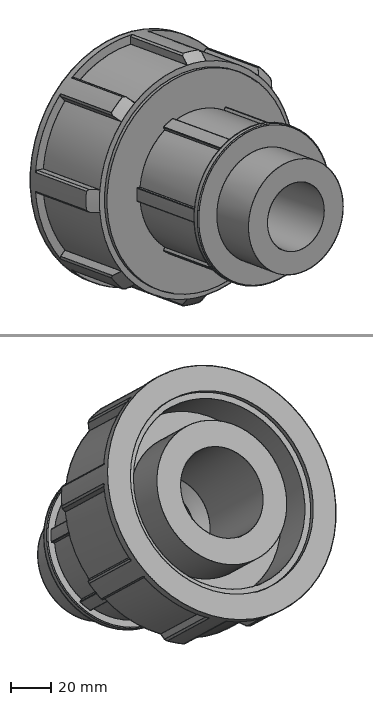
import cadquery as cq

RIM_END = 4.2
NUT_END = 50.7
COLLAR_END = 52.8
FLANGE_START = 102.2
FLANGE_END = 106.0
LENGTH = 132.0

RIM_DIAMETER = 132.0
NUT_BODY_DIAMETER = 122.5
COLLAR_DIAMETER = 116.2
TUBE_DIAMETER = 75.0
FLANGE_DIAMETER = 83.4
SPIGOT_DIAMETER = 59.7
FLANGE_CHAMFER = 0.5

GRIP_COUNT = 8
GRIP_WIDTH = 11.9
GRIP_TIP_CHAMFER = 1.2
GRIP_BEVEL = (RIM_DIAMETER - NUT_BODY_DIAMETER) / 2

SPLINE_COUNT = 6
SPLINE_WIDTH = 7.1
SPLINE_DIAMETER = 78.7
SPLINE_TIP_CHAMFER = 0.4

MOUTH_DIAMETER = 105.6
MOUTH_DEPTH = 2.6
RECESS_DIAMETER = 99.0
RECESS_DEPTH = 26.4
SLEEVE_DIAMETER = TUBE_DIAMETER

ENTRY_DIAMETER = 47.7
PASSAGE_DIAMETER = 35.8
CONE_START = COLLAR_END
CONE_LENGTH = (ENTRY_DIAMETER - PASSAGE_DIAMETER) / 2


def disc(diameter, start, end):
    """Solid cylinder along X between two positions."""
    return cq.Workplane("YZ").workplane(offset=start).circle(diameter / 2).extrude(end - start)


def around_axis(shape, count):
    """Equally spaced copies of a shape around the X axis."""
    copies = shape
    for index in range(1, count):
        copies = copies.union(shape.rotate((0, 0, 0), (1, 0, 0), index * 360 / count))
    return copies


def radial_bar(diameter, width, tip_chamfer, start, end):
    """Bar from the axis out along +Y, with parallel walls and chamfered tip edges."""
    tip = diameter / 2
    shoulder = tip - tip_chamfer
    wall = width / 2
    tip_half = wall - tip_chamfer
    outline = [(0, -wall), (shoulder, -wall), (tip, -tip_half), (tip, tip_half), (shoulder, wall), (0, wall)]
    return cq.Workplane("YZ").workplane(offset=start).polyline(outline).close().extrude(end - start)


def make_grips():
    grip = radial_bar(RIM_DIAMETER, GRIP_WIDTH, GRIP_TIP_CHAMFER, 0, NUT_END)
    envelope = disc(RIM_DIAMETER, 0, NUT_END).faces(">X").chamfer(GRIP_BEVEL)
    return around_axis(grip, GRIP_COUNT).intersect(envelope)


def make_splines():
    spline = radial_bar(SPLINE_DIAMETER, SPLINE_WIDTH, SPLINE_TIP_CHAMFER, COLLAR_END, FLANGE_START)
    envelope = disc(SPLINE_DIAMETER, COLLAR_END, FLANGE_START)
    return around_axis(spline, SPLINE_COUNT).intersect(envelope)


def make_outside():
    flange = disc(FLANGE_DIAMETER, FLANGE_START, FLANGE_END).edges().chamfer(FLANGE_CHAMFER)
    return (
        disc(RIM_DIAMETER, 0, RIM_END)
        .union(disc(NUT_BODY_DIAMETER, 0, NUT_END))
        .union(make_grips())
        .union(disc(COLLAR_DIAMETER, NUT_END, COLLAR_END))
        .union(disc(TUBE_DIAMETER, COLLAR_END, FLANGE_START))
        .union(make_splines())
        .union(flange)
        .union(disc(SPIGOT_DIAMETER, FLANGE_END, LENGTH))
    )


def make_recess():
    hollow = disc(MOUTH_DIAMETER, 0, MOUTH_DEPTH).union(disc(RECESS_DIAMETER, 0, RECESS_DEPTH))
    return hollow.cut(disc(SLEEVE_DIAMETER, 0, RECESS_DEPTH))


def make_bore():
    profile = [
        (0, 0),
        (0, ENTRY_DIAMETER / 2),
        (CONE_START, ENTRY_DIAMETER / 2),
        (CONE_START + CONE_LENGTH, PASSAGE_DIAMETER / 2),
        (LENGTH, PASSAGE_DIAMETER / 2),
        (LENGTH, 0),
    ]
    return cq.Workplane("XY").polyline(profile).close().revolve(360, (0, 0, 0), (1, 0, 0))


result = make_outside().cut(make_recess()).cut(make_bore())